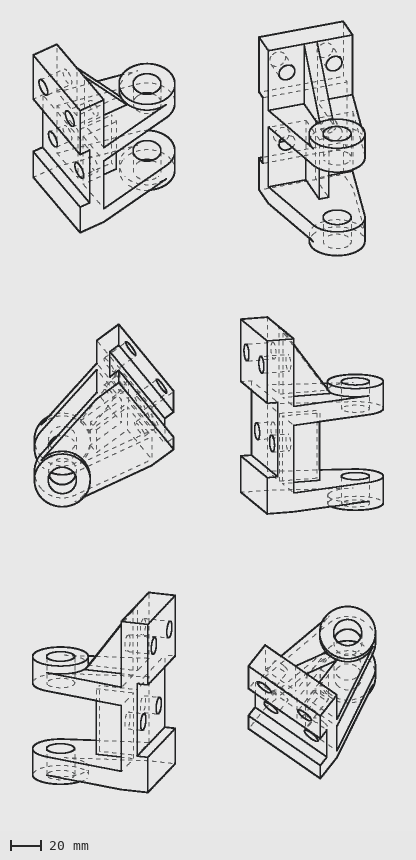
import cadquery as cq
import math

plate_width = 58.1
plate_depth = 18.16
plate_height = 2 * plate_width

groove_depth = 7.26
groove_bottom = 24.4
groove_height = 50.0

bolt_diameter = 10.9
bolt_spacing_x = 32.6
bolt_lower_z = 43.6
bolt_spacing_z = 53.4

total_depth = 87.16
total_height = 121.66
eye_radius = 18.16
eye_height = eye_radius
eye_y = total_depth - eye_radius
pin_diameter = eye_radius
eye_overhang = total_height - plate_height
arm_thickness = eye_height - eye_overhang
upper_arm_bottom = 58.1

web_thickness = 6.5
gusset_thickness = 9.0
web_length = 25.5
gusset_length = eye_y - eye_radius - plate_depth

upper_arm_top = upper_arm_bottom + arm_thickness
web_height = upper_arm_bottom - arm_thickness


def make_plate():
    plate = cq.Workplane("XY").box(
        plate_width, plate_depth, plate_height, centered=(True, False, False)
    )
    groove = (
        cq.Workplane("XY")
        .box(plate_width, groove_depth, groove_height, centered=(True, False, False))
        .translate((0, 0, groove_bottom))
    )
    return plate.cut(groove)


def make_arm(bottom_z):
    """Arm whose sides run from the plate's back corners tangent to the eye."""
    half_width = plate_width / 2
    reach = eye_y - plate_depth
    corner_distance = math.hypot(half_width, reach)
    tangent_angle = math.atan2(-reach, half_width) + math.acos(eye_radius / corner_distance)
    tangent_x = eye_radius * math.cos(tangent_angle)
    tangent_y = eye_y + eye_radius * math.sin(tangent_angle)
    return (
        cq.Workplane("XY", origin=(0, 0, bottom_z))
        .moveTo(-half_width, plate_depth)
        .lineTo(half_width, plate_depth)
        .lineTo(tangent_x, tangent_y)
        .threePointArc((0, eye_y + eye_radius), (-tangent_x, tangent_y))
        .close()
        .extrude(arm_thickness)
    )


def make_eye(bottom_z):
    return cq.Workplane("XY", origin=(0, eye_y, bottom_z)).circle(eye_radius).extrude(eye_height)


def make_web():
    """Rectangular web joining the two arms."""
    return (
        cq.Workplane("XY")
        .box(web_thickness, web_length, web_height, centered=(True, False, False))
        .translate((0, plate_depth, arm_thickness))
    )


def make_gusset():
    """Triangular rib from the top of the plate down to the upper eye."""
    return (
        cq.Workplane("YZ", origin=(-gusset_thickness / 2, 0, 0))
        .moveTo(plate_depth, upper_arm_top)
        .lineTo(plate_depth + gusset_length, upper_arm_top)
        .lineTo(plate_depth, plate_height)
        .close()
        .extrude(gusset_thickness)
    )


def make_bolt_holes():
    pattern_middle_z = bolt_lower_z + bolt_spacing_z / 2
    return (
        cq.Workplane("XZ", origin=(0, 0, pattern_middle_z))
        .rect(bolt_spacing_x, bolt_spacing_z, forConstruction=True)
        .vertices()
        .circle(bolt_diameter / 2)
        .extrude(-plate_depth)
    )


def make_pin_hole():
    return (
        cq.Workplane("XY", origin=(0, eye_y, -eye_overhang))
        .circle(pin_diameter / 2)
        .extrude(total_height)
    )


result = make_plate()
for arm_bottom, eye_bottom in ((0, -eye_overhang), (upper_arm_bottom, upper_arm_bottom)):
    result = result.union(make_arm(arm_bottom)).union(make_eye(eye_bottom))
result = result.union(make_web()).union(make_gusset())
result = result.cut(make_bolt_holes()).cut(make_pin_hole())